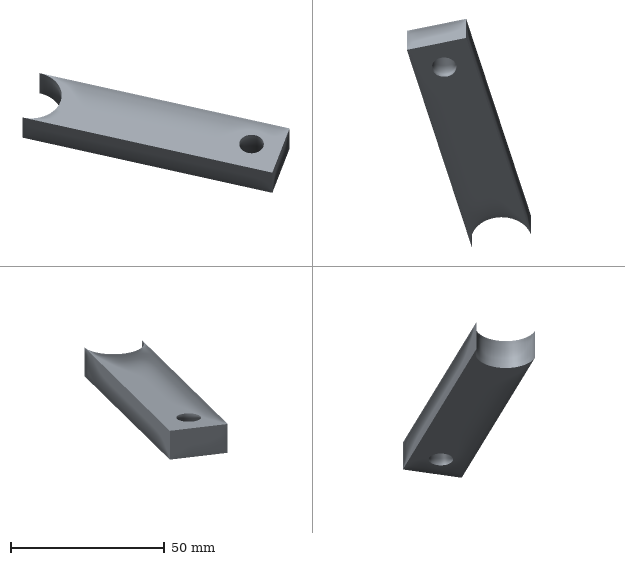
import cadquery as cq

length = 85.0
width = 20.0
thickness = 10.0
hole_diameter = 8.0
hole_end_distance = 10.0

end_radius = width / 2
hole_x = length - hole_end_distance


def make_bar():
    """Flat bar along +X whose near end is a concave half circle."""
    return (
        cq.Workplane("XY")
        .moveTo(0, -end_radius)
        .lineTo(length, -end_radius)
        .lineTo(length, end_radius)
        .lineTo(0, end_radius)
        .threePointArc((end_radius, 0), (0, -end_radius))
        .close()
        .extrude(thickness)
    )


def make_hole():
    """Cylinder that cuts the through hole near the square end."""
    return cq.Workplane("XY").center(hole_x, 0).circle(hole_diameter / 2).extrude(thickness)


result = make_bar().cut(make_hole())